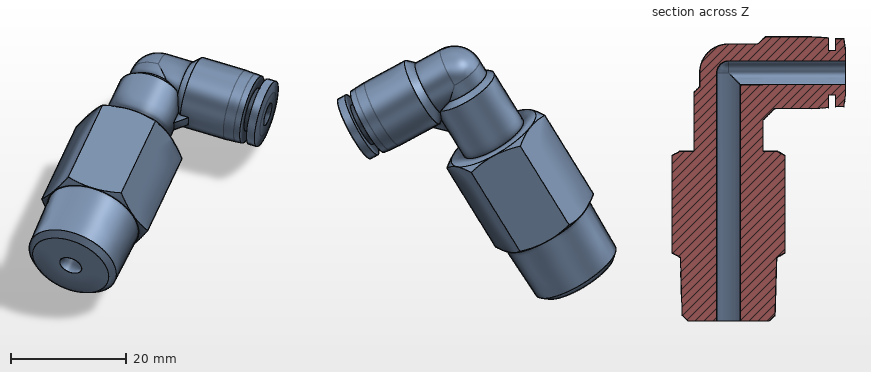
import cadquery as cq
import math

overall_length = 49.25
overall_width = 30.1
stem_root_radius = 8.35
stem_tip_radius = 8.1
stem_face_radius = 7.05
stem_chamfer_length = 1.0

hex_sides = 6
hex_flats = 17.0
hex_start = 11.05
hex_end = 29.45
hex_chamfer_radius = 8.45
hex_chamfer_angle = 30.0

body_radius = 6.0
body_end = 39.6
neck_radius = 5.0
neck_start = 40.6

collar_radius = 6.25
collar_cone_start = 5.0
collar_start = 6.4
collar_end = 14.4
taper_end = 16.25
taper_radius = 6.15
lip_end = 17.35
lip_radius = 6.05
groove_radius = 3.9
groove_end = 18.5
flange_radius = 5.9
flange_rim_end = 20.0
flange_face_radius = 3.95
hex_corner_radius = hex_flats / 2 / math.cos(math.radians(180 / hex_sides))
arm_end = overall_width - hex_corner_radius
arm_y = overall_length - collar_radius

gusset_thickness = 1.95
gusset_reach = 7.95

bore_radius = 2.0


def turned_about_y(points):
    """Revolve a (radius, y) outline about the stem axis."""
    return cq.Workplane("XY").polyline(points).close().revolve(360, (0, 0), (0, 1))


def turned_about_arm(points):
    """Revolve an (x, radius) outline about the arm axis."""
    outline = cq.Workplane("XY", origin=(0, arm_y, 0)).polyline(points).close()
    return outline.revolve(360, (0, 0), (1, 0))


def make_stem():
    return turned_about_y([
        (0, 0),
        (stem_face_radius, 0),
        (stem_tip_radius, stem_chamfer_length),
        (stem_root_radius, hex_start),
        (0, hex_start),
    ])


def make_hexagon():
    corner_drop = (hex_corner_radius - hex_chamfer_radius) * math.tan(math.radians(hex_chamfer_angle))
    prism = (
        cq.Workplane("XZ", origin=(0, hex_start, 0))
        .polygon(hex_sides, 2 * hex_corner_radius)
        .extrude(hex_start - hex_end)
    )
    chamfer_envelope = turned_about_y([
        (0, hex_start),
        (hex_chamfer_radius, hex_start),
        (hex_corner_radius, hex_start + corner_drop),
        (hex_corner_radius, hex_end - corner_drop),
        (hex_chamfer_radius, hex_end),
        (0, hex_end),
    ])
    return prism.intersect(chamfer_envelope)


def make_body():
    return turned_about_y([
        (0, hex_end),
        (body_radius, hex_end),
        (body_radius, body_end),
        (neck_radius, neck_start),
        (neck_radius, arm_y),
        (0, arm_y),
    ])


def make_arm():
    return turned_about_arm([
        (0, 0),
        (0, neck_radius),
        (collar_cone_start, neck_radius),
        (collar_start, collar_radius),
        (collar_end, collar_radius),
        (taper_end, taper_radius),
        (lip_end, lip_radius),
        (lip_end, groove_radius),
        (groove_end, groove_radius),
        (groove_end, flange_radius),
        (flange_rim_end, flange_radius),
        (arm_end, flange_face_radius),
        (arm_end, 0),
    ])


def make_gusset():
    top_y = arm_y - collar_radius
    foot_y = top_y - gusset_reach
    return (
        cq.Workplane("XY")
        .polyline([(0, foot_y), (gusset_reach, top_y), (gusset_reach, arm_y), (0, arm_y)])
        .close()
        .extrude(gusset_thickness / 2, both=True)
    )


def make_elbow_ball(radius):
    return cq.Workplane("XY", origin=(0, arm_y, 0)).sphere(radius)


def make_passage():
    stem_bore = cq.Workplane("XZ").circle(bore_radius).extrude(-arm_y)
    arm_bore = cq.Workplane("YZ", origin=(0, arm_y, 0)).circle(bore_radius).extrude(arm_end)
    return stem_bore.union(arm_bore).union(make_elbow_ball(bore_radius))


result = (
    make_stem()
    .union(make_hexagon())
    .union(make_body())
    .union(make_elbow_ball(neck_radius))
    .union(make_arm())
    .union(make_gusset())
    .cut(make_passage())
)